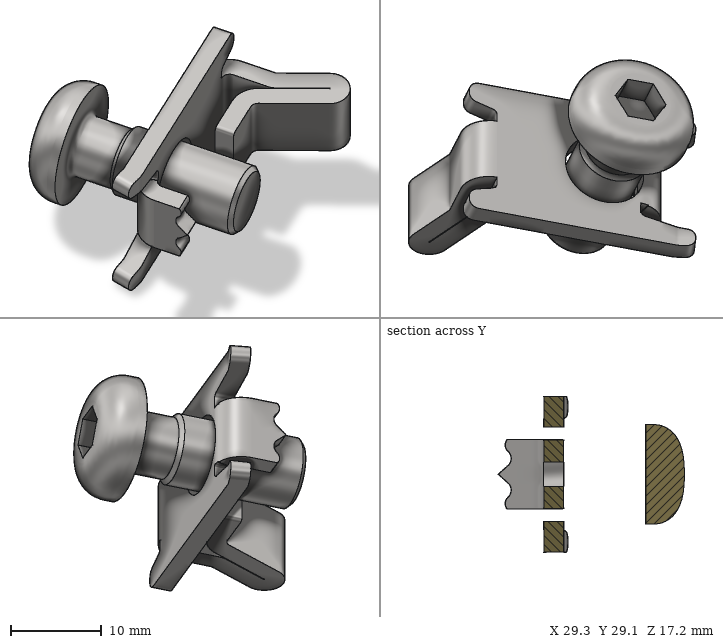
import cadquery as cq
import math


head_dia = 14.0
head_face_dia = 7.0
head_height = 4.37
head_rim = 0.97
socket_flats = 5.05
socket_depth = 3.28
neck_dia = 7.0
neck_end = 9.45
neck_fillet = 0.65
shank_dia = 8.0
bolt_end = 24.43

sheet = 2.23
plate_x = 13.37
plate_top_y = 15.6
clip_end_x = 29.33
clip_half_height = 8.6
strip_half_width = 3.85
bend_radius = 0.97
bolt_hole_dia = 9.0

hook_slope = 24.5
hook_knee_x = 20.7
knee_radius = 0.03
fold_gap = 0.1
tail_x = 18.1
tail_end_y = 5.35
tail_corner = 0.55

tab_bend_y = -4.15
tab_root_half_width = 3.72
tab_root_angle = 17.0
tab_root_fillet = 0.38
tooth_tip_x = 20.62
hollow_start = (19.45, 1.05)
hollow_middle = (19.2, 1.88)
lobe_start = (19.53, 2.52)
lobe_middle = (19.85, 3.17)
lobe_end_x = 19.62

arm_corner = 1.1
notch_fillet = 0.75
hook_notch_z = 5.25
hook_notch_slope = 17.3
tab_notch_z = 5.35
tab_notch_slope = 10.3
tip_bend_y = -8.3
tip_angle = 13.0
tip_length = 1.9
tip_round = 1.09

plate_back_x = plate_x + sheet
outer_bend_radius = bend_radius + sheet
bend_end_x = plate_x + outer_bend_radius
hook_bend_y = plate_top_y - outer_bend_radius
fold_radius = fold_gap / 2


def bent_strip(start, heading, moves):
    """Sheet strip that starts with its middle at start (x, y), running along heading (degrees).

    Each move is (half_width, length) for a straight stretch, or
    (half_width, angle, inner_radius) for a bend, with positive angles to the left.
    """
    x, y = start
    strip = cq.Workplane("XY")
    for half_width, amount, *inner_radius in moves:
        along = (math.cos(math.radians(heading)), math.sin(math.radians(heading)))
        left = (-along[1], along[0])
        section_plane = cq.Plane(origin=(x, y, 0), xDir=(*left, 0), normal=(*along, 0))
        section = cq.Workplane(section_plane).rect(sheet, 2 * half_width)
        if inner_radius:
            side = math.copysign(1, amount)
            axis = side * (inner_radius[0] + sheet / 2)
            strip = strip.union(section.revolve(abs(amount), (axis, 0), (axis, side)))
            turn = math.radians(amount)
            forward = axis * math.sin(turn)
            sideways = axis * (1 - math.cos(turn))
            heading += amount
        else:
            strip = strip.union(section.extrude(amount))
            forward = amount
            sideways = 0
        x += forward * along[0] + sideways * left[0]
        y += forward * along[1] + sideways * left[1]
    return strip


def make_bolt():
    """Button-head bolt with a plain neck, a thicker shank and a hexagon socket."""
    head_r = head_dia / 2
    face_r = head_face_dia / 2
    neck_r = neck_dia / 2
    shank_r = shank_dia / 2
    cone = shank_r - neck_r
    dome_depth = head_height - head_rim
    dome_drop = head_r - face_r
    dome_radius = (dome_depth**2 + dome_drop**2) / (2 * dome_drop)
    half_sweep = math.asin(dome_depth / dome_radius) / 2
    dome_middle = (
        dome_depth - dome_radius * math.sin(half_sweep),
        head_r - dome_radius * (1 - math.cos(half_sweep)),
    )
    fillet_middle = neck_fillet * (1 - math.sqrt(0.5))
    bolt = (
        cq.Workplane("XY")
        .lineTo(0, face_r)
        .threePointArc(dome_middle, (dome_depth, head_r))
        .lineTo(head_height, head_r)
        .lineTo(head_height, neck_r + neck_fillet)
        .threePointArc(
            (head_height + fillet_middle, neck_r + fillet_middle),
            (head_height + neck_fillet, neck_r),
        )
        .lineTo(neck_end, neck_r)
        .lineTo(neck_end + cone, shank_r)
        .lineTo(bolt_end - cone, shank_r)
        .lineTo(bolt_end, neck_r)
        .lineTo(bolt_end, 0)
        .close()
        .revolve(360, (0, 0), (1, 0))
    )
    socket_corner_dia = socket_flats / math.cos(math.radians(30))
    socket = cq.Workplane("YZ").polygon(6, socket_corner_dia).extrude(socket_depth)
    return bolt.cut(socket)


def cut_notch(plate, floor_y, side, floor_half_width, slope):
    """Cut the open notch between the two arms, from floor_y toward side (+1 or -1) in Y."""
    reach = 11.73
    depth = 5.87
    mouth_half_width = floor_half_width + reach * math.tan(math.radians(slope))
    mouth_y = floor_y + side * reach
    notch = (
        cq.Workplane("YZ", origin=(plate_back_x - depth, 0, 0))
        .moveTo(floor_y, floor_half_width)
        .lineTo(mouth_y, mouth_half_width)
        .lineTo(mouth_y, -mouth_half_width)
        .lineTo(floor_y, -floor_half_width)
        .close()
        .extrude(depth)
    )
    floor_edges = notch.faces("<Y" if side > 0 else ">Y").edges("|X")
    return plate.cut(floor_edges.fillet(notch_fillet))


def make_plate():
    """Plate with a notch at both ends, leaving two arms whose lower tips are bent."""
    plate = bent_strip(
        (plate_x + sheet / 2, plate_top_y),
        -90,
        [
            (clip_half_height, plate_top_y - tip_bend_y),
            (clip_half_height, -tip_angle, bend_radius),
            (clip_half_height, tip_length),
        ],
    )
    plate = cut_notch(plate, hook_bend_y, 1, hook_notch_z, hook_notch_slope)
    plate = cut_notch(plate, tab_bend_y, -1, tab_notch_z, tab_notch_slope)
    plate = plate.faces(">Y").edges("|X").fillet(arm_corner)
    tilt = math.radians(tip_angle)
    tip_direction = cq.Vector(-math.sin(tilt), -math.cos(tilt), 0)
    tip_ends = plate.faces(cq.selectors.DirectionMinMaxSelector(tip_direction))
    return tip_ends.edges("not |Z").fillet(tip_round)


def make_hook():
    """Folded hook that grows out of the upper end of the plate."""
    slope = math.radians(hook_slope)
    knee_mid = knee_radius + sheet / 2
    fold_mid = fold_radius + sheet / 2
    tail_mid = bend_radius + sheet / 2
    fold_centre_x = clip_end_x - fold_radius - sheet
    tail_centre_x = tail_x + outer_bend_radius
    out_run = fold_centre_x - hook_knee_x - (fold_mid + knee_mid) * math.sin(slope)
    back_run = fold_centre_x - tail_centre_x + (fold_mid + tail_mid) * math.sin(slope)
    tail_start_y = (
        plate_top_y - sheet / 2
        + knee_mid * (1 - math.cos(slope))
        + (out_run - back_run) * math.tan(slope)
        - (2 * fold_mid + tail_mid) * math.cos(slope)
    )
    hook = bent_strip(
        (plate_x + sheet / 2, hook_bend_y),
        90,
        [
            (strip_half_width, -90, bend_radius),
            (strip_half_width, hook_knee_x - bend_end_x),
            (strip_half_width, hook_slope, knee_radius),
            (strip_half_width, out_run / math.cos(slope)),
            (strip_half_width, -180, fold_radius),
            (strip_half_width, back_run / math.cos(slope)),
            (strip_half_width, 90 - hook_slope, bend_radius),
            (strip_half_width, tail_start_y - tail_end_y),
        ],
    )
    return hook.faces("<Y").edges("|X").fillet(tail_corner)


def make_tab():
    """Toothed tab that grows out of the lower end of the plate between the arms."""
    tab = bent_strip(
        (plate_x + sheet / 2, tab_bend_y),
        -90,
        [
            (tab_root_half_width, tab_root_angle, bend_radius),
            (strip_half_width, 90 - tab_root_angle, bend_radius),
            (strip_half_width, tooth_tip_x - bend_end_x),
        ],
    )
    beyond_x = tooth_tip_x + sheet
    tab_back_y = tab_bend_y - bend_radius
    beyond_end = (
        cq.Workplane("XZ", origin=(0, tab_back_y, 0))
        .moveTo(tooth_tip_x, 0)
        .lineTo(*hollow_start)
        .threePointArc(hollow_middle, lobe_start)
        .threePointArc(lobe_middle, (lobe_end_x, strip_half_width))
        .lineTo(beyond_x, strip_half_width)
        .lineTo(beyond_x, 0)
        .close()
        .extrude(sheet)
    )
    return tab.cut(beyond_end).cut(beyond_end.mirror("XY"))


def make_root_fillets():
    """Concave fillets between the plate and the flanks of the tab root."""
    size = tab_root_fillet
    middle = size * (1 - math.sqrt(0.5))
    fillet = (
        cq.Workplane("YZ", origin=(plate_x, 0, 0))
        .moveTo(tab_bend_y, tab_root_half_width)
        .lineTo(tab_bend_y, tab_root_half_width + size)
        .threePointArc(
            (tab_bend_y - middle, tab_root_half_width + middle),
            (tab_bend_y - size, tab_root_half_width),
        )
        .close()
        .extrude(sheet)
    )
    return fillet.union(fillet.mirror("XY"))


def make_clip():
    """Plate with hook and tab as one bent sheet, with a clearance hole around the bolt."""
    clip = make_plate().union(make_hook()).union(make_tab()).union(make_root_fillets())
    hole = cq.Workplane("YZ", origin=(plate_x, 0, 0)).circle(bolt_hole_dia / 2).extrude(sheet)
    return clip.cut(hole)


bolt = make_bolt()
clip = make_clip()
result = cq.Compound.makeCompound([bolt.val(), clip.val()])